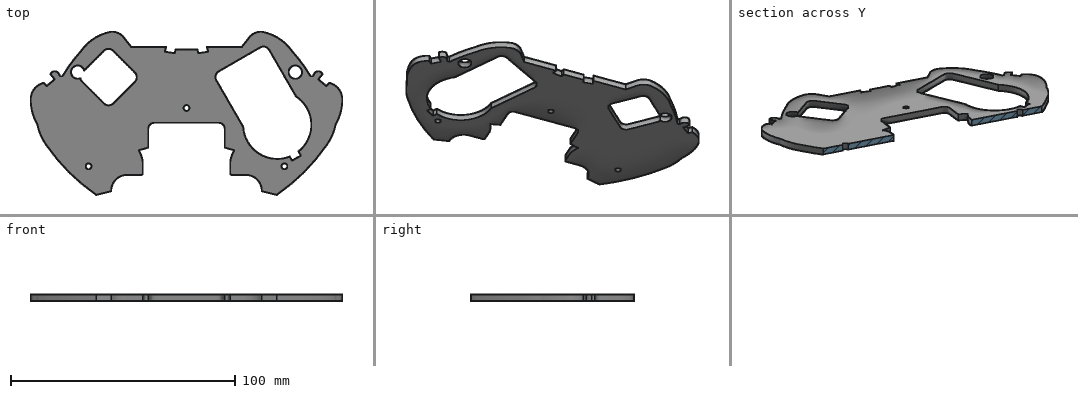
import cadquery as cq
import math

half_width = 69.5
half_depth = 36.4
thickness = 3.0

bridge_top = 29.6
bridge_end = 24.6
tab_top = 28.5

bay_top = -4.3
bay_half_width = 17.0
bay_corner_radius = 2.5

foot_inner = 19.5
foot_bottom = -27.5
foot_corner_radius = 0.8
scoop_x = 26.5
scoop_y = -34.5
scoop_radius = 7.0

screw_radius = 1.2
screw_spread = 43.6
screw_points = [(0, 2.4), (-screw_spread, -23.6), (screw_spread, -23.6)]
pin_x = 48.5
pin_y = 18.3
pin_radius = 2.9

window_x = -34.7
window_y = 16.1
window_side = 19.5
window_angle = 45
window_corner_radius = 2.9

keyhole_x = 40.4
keyhole_y = -5.1
keyhole_radius = 15.1
keyhole_width = 27.1
keyhole_length = 33.6
keyhole_angle = 30
keyhole_corner_radius = 2.9
key_slot_width = 4.5
key_slot_reach = 17.1


def half_plate():
    """Right half of the plate, from the centre line outward."""
    scoop_mid = scoop_radius * math.sqrt(0.5)
    outline = (
        cq.Workplane("XY")
        .moveTo(0, bay_top)
        .lineTo(0, tab_top)
        .lineTo(4.9, tab_top)
        .lineTo(5.3, 26.8)
        .lineTo(9.6, 27.5)
        .lineTo(9.0, bridge_top)
        .lineTo(bridge_end, bridge_top)
        .lineTo(28.3, 34.3)
        .threePointArc((30.8, 36.0), (33.5, half_depth))
        .threePointArc((39.9, 34.2), (47.1, 27.6))
        .threePointArc((51.5, 22.2), (55.3, 16.5))
        .lineTo(56.2, 16.5)
        .lineTo(57.0, 17.8)
        .threePointArc((58.3, 18.7), (60.0, 18.3))
        .lineTo(60.7, 17.5)
        .lineTo(58.7, 15.1)
        .lineTo(62.2, 12.2)
        .lineTo(63.6, 13.6)
        .threePointArc((67.6, 11.1), (half_width, 6.2))
        .threePointArc((68.9, 1.1), (66.5, -4.9))
        .threePointArc((65.0, -9.7), (62.4, -14.3))
        .threePointArc((52.4, -26.2), (40.1, -half_depth))
        .lineTo(scoop_x + scoop_radius, -34.7)
        .lineTo(scoop_x + scoop_radius, scoop_y)
        .threePointArc(
            (scoop_x + scoop_mid, scoop_y + scoop_mid),
            (scoop_x, scoop_y + scoop_radius),
        )
        .lineTo(foot_inner, foot_bottom)
        .lineTo(foot_inner, -21.4)
        .threePointArc((20.1, -18.7), (21.2, -16.5))
        .lineTo(bay_half_width, -15.3)
        .lineTo(bay_half_width, bay_top)
        .close()
    )
    half = outline.extrude(thickness)
    half = half.edges(at_corner(bay_half_width, bay_top)).fillet(bay_corner_radius)
    return half.edges(at_corner(foot_inner, foot_bottom)).fillet(foot_corner_radius)


def at_corner(x, y):
    """Selector for the upright edge standing at (x, y)."""
    reach = 0.1
    return cq.selectors.BoxSelector(
        (x - reach, y - reach, 0), (x + reach, y + reach, thickness)
    )


def round_cutter(x, y, radius):
    return cq.Workplane("XY").center(x, y).circle(radius).extrude(thickness)


def square_window():
    return (
        cq.Workplane("XY")
        .rect(window_side, window_side)
        .extrude(thickness)
        .edges("|Z")
        .fillet(window_corner_radius)
        .rotate((0, 0, 0), (0, 0, 1), window_angle)
        .translate((window_x, window_y, 0))
    )


def keyhole_window():
    """Built upright around the centre of the round end, then tilted into place."""
    body = (
        cq.Workplane("XY")
        .center(0, keyhole_length / 2)
        .rect(keyhole_width, keyhole_length)
        .extrude(thickness)
        .edges("|Z and >Y")
        .fillet(keyhole_corner_radius)
    )
    slot = (
        cq.Workplane("XY")
        .center(0, -key_slot_reach / 2)
        .rect(key_slot_width, key_slot_reach)
        .extrude(thickness)
    )
    return (
        body.union(round_cutter(0, 0, keyhole_radius))
        .union(slot)
        .rotate((0, 0, 0), (0, 0, 1), keyhole_angle)
        .translate((keyhole_x, keyhole_y, 0))
    )


right_half = half_plate()
plate = right_half.union(right_half.mirror("YZ"))
plate = plate.cut(square_window()).cut(keyhole_window())
for side in (-1, 1):
    plate = plate.cut(round_cutter(side * pin_x, pin_y, pin_radius))
for x, y in screw_points:
    plate = plate.cut(round_cutter(x, y, screw_radius))

result = plate